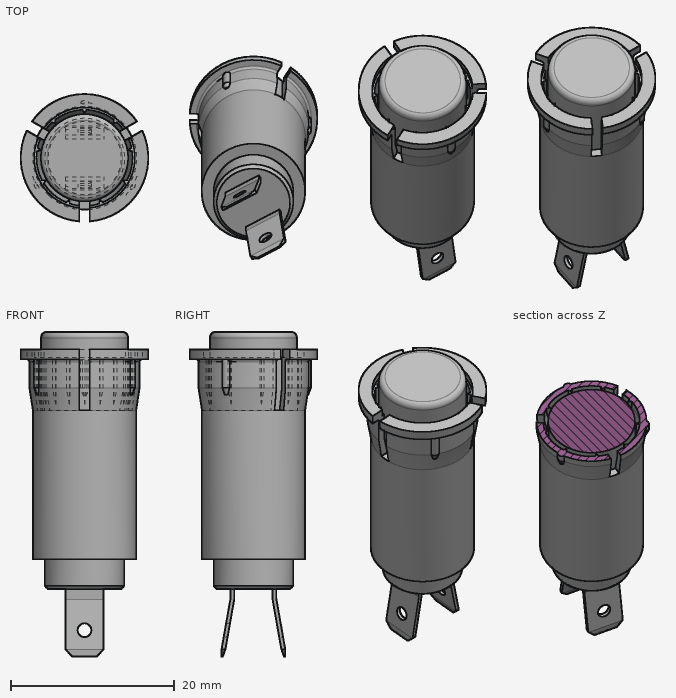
import cadquery as cq
import math


overall_height = 39.66

flange_thickness = 1.22
collar_height = 3.45
taper_height = 2.75
barrel_length = 18.22
collar_bottom_z = -collar_height
barrel_top_z = collar_bottom_z - taper_height
barrel_bottom_z = barrel_top_z - barrel_length

flange_radius = 7.805
collar_radius = 6.75
barrel_radius = 6.325
flange_fillet = 0.3

lens_radius = 5.33
lens_rise = 2.14
lens_fillet = 0.73
lens_top_z = flange_thickness + lens_rise

recess_radius = 6.15
recess_depth = 0.95
bore_radius = 5.87

finger_count = 3
finger_pitch = 360 / finger_count
slot_width = 1.28
first_slot_angle = 30

first_rib_angle = 90
rib_radius = 0.6
rib_protrusion = 0.29
rib_axis_radius = collar_radius + rib_protrusion - rib_radius
rib_tip_radius = 0.28
rib_tip_length = 0.86

ridge_count = 9
ridge_pitch = 360 / ridge_count
first_ridge_angle = 90
ridge_width = 0.5
ridge_height = 0.4

base_radius = 4.87
base_height = 3.65
base_chamfer = 0.4
base_bottom_z = barrel_bottom_z - base_height

tab_width = 4.7
tab_thickness = 0.5
tab_inner_y = 2.32
tab_straight_length = 1.2
tab_splay_angle = 10
tab_tip_bevel_angle = 10
tab_hole_diameter = 1.65
tab_hole_below_bend = 3.8
tab_corner_length = 0.92
tab_corner_width = 0.83
tab_bottom_z = lens_top_z - overall_height
tab_bend_z = base_bottom_z - tab_straight_length


def slot_cutter(angle):
    """Radial slot from the axis outward, through the flange, collar and taper."""
    slot_height = flange_thickness - barrel_top_z
    return (
        cq.Workplane("XY")
        .box(flange_radius + slot_width, slot_width, slot_height, centered=(False, True, False))
        .translate((0, 0, barrel_top_z))
        .rotate((0, 0, 0), (0, 0, 1), angle)
    )


def outer_rib(angle):
    """Round rib under the flange with a conical lower end on the taper."""
    x = rib_axis_radius * math.cos(math.radians(angle))
    y = rib_axis_radius * math.sin(math.radians(angle))
    shaft = cq.Workplane("XY", origin=(x, y, collar_bottom_z)).circle(rib_radius).extrude(collar_height)
    tip = cq.Solid.makeCone(
        rib_radius,
        rib_tip_radius,
        rib_tip_length,
        pnt=cq.Vector(x, y, collar_bottom_z),
        dir=cq.Vector(0, 0, -1),
    )
    return shaft.union(cq.Workplane(tip))


def bore_ridge(angle):
    """Triangular ridge standing on the bore wall, from the recess floor to the barrel top."""
    base_x = math.sqrt(bore_radius**2 - (ridge_width / 2) ** 2)
    root_x = (bore_radius + recess_radius) / 2
    return (
        cq.Workplane("XY", origin=(0, 0, barrel_top_z))
        .moveTo(root_x, -ridge_width / 2)
        .lineTo(base_x, -ridge_width / 2)
        .lineTo(bore_radius - ridge_height, 0)
        .lineTo(base_x, ridge_width / 2)
        .lineTo(root_x, ridge_width / 2)
        .close()
        .extrude(flange_thickness - recess_depth - barrel_top_z)
        .rotate((0, 0, 0), (0, 0, 1), angle)
    )


def make_housing():
    """Turned shell with ribs outside, ridges inside and three slots in its mouth."""
    outside = (
        cq.Workplane("XZ")
        .moveTo(0, flange_thickness)
        .lineTo(flange_radius, flange_thickness)
        .lineTo(flange_radius, 0)
        .lineTo(collar_radius + flange_fillet, 0)
        .radiusArc((collar_radius, -flange_fillet), -flange_fillet)
        .lineTo(collar_radius, collar_bottom_z)
        .lineTo(barrel_radius, barrel_top_z)
        .lineTo(barrel_radius, barrel_bottom_z)
        .lineTo(0, barrel_bottom_z)
        .close()
        .revolve(360, (0, 0, 0), (0, 1, 0))
    )
    bore = (
        cq.Workplane("XZ")
        .moveTo(0, flange_thickness)
        .lineTo(recess_radius, flange_thickness)
        .lineTo(recess_radius, flange_thickness - recess_depth)
        .lineTo(bore_radius, flange_thickness - recess_depth)
        .lineTo(bore_radius, collar_bottom_z)
        .lineTo(lens_radius, barrel_top_z)
        .lineTo(0, barrel_top_z)
        .close()
        .revolve(360, (0, 0, 0), (0, 1, 0))
    )
    housing = outside
    for i in range(finger_count):
        housing = housing.union(outer_rib(first_rib_angle + i * finger_pitch))
    housing = housing.cut(bore)
    for i in range(ridge_count):
        housing = housing.union(bore_ridge(first_ridge_angle + i * ridge_pitch))
    for i in range(finger_count):
        housing = housing.cut(slot_cutter(first_slot_angle + i * finger_pitch))
    return housing


def make_lens():
    """Round lens standing on the barrel top, with a rounded upper edge."""
    return (
        cq.Workplane("XY", origin=(0, 0, barrel_top_z))
        .circle(lens_radius)
        .extrude(lens_top_z - barrel_top_z)
        .faces(">Z")
        .edges()
        .fillet(lens_fillet)
    )


def make_base():
    """Base plug under the barrel, with a chamfered lower edge."""
    return (
        cq.Workplane("XY", origin=(0, 0, base_bottom_z))
        .circle(base_radius)
        .extrude(base_height)
        .faces("<Z")
        .edges()
        .chamfer(base_chamfer)
    )


def make_tab(side):
    """Solder tab, straight then splayed out to a bevelled tip; side is +1 or -1 along Y."""
    splay = math.tan(math.radians(tab_splay_angle))
    inner_bevel = math.tan(math.radians(tab_splay_angle + tab_tip_bevel_angle))
    outer_bevel = math.tan(math.radians(tab_splay_angle - tab_tip_bevel_angle))
    half_width = tab_width / 2
    tip_half_width = half_width - tab_corner_width
    corner_z = tab_bottom_z + tab_corner_length
    inner_y = tab_inner_y
    outer_y = tab_inner_y + tab_thickness
    splay_shift = splay * (tab_bend_z - corner_z)
    inner_corner_y = inner_y + splay_shift
    outer_corner_y = outer_y + splay_shift
    inner_tip_y = inner_corner_y + inner_bevel * tab_corner_length
    outer_tip_y = outer_corner_y + outer_bevel * tab_corner_length

    bent_strip = (
        cq.Workplane("YZ")
        .moveTo(side * inner_y, base_bottom_z)
        .lineTo(side * outer_y, base_bottom_z)
        .lineTo(side * outer_y, tab_bend_z)
        .lineTo(side * outer_corner_y, corner_z)
        .lineTo(side * outer_tip_y, tab_bottom_z)
        .lineTo(side * inner_tip_y, tab_bottom_z)
        .lineTo(side * inner_corner_y, corner_z)
        .lineTo(side * inner_y, tab_bend_z)
        .close()
        .extrude(half_width, both=True)
    )
    front_outline = (
        cq.Workplane("XZ")
        .moveTo(-half_width, base_bottom_z)
        .lineTo(half_width, base_bottom_z)
        .lineTo(half_width, corner_z)
        .lineTo(tip_half_width, tab_bottom_z)
        .lineTo(-tip_half_width, tab_bottom_z)
        .lineTo(-half_width, corner_z)
        .close()
        .extrude(base_radius, both=True)
    )
    hole = (
        cq.Workplane("XZ", origin=(0, 0, tab_bend_z - tab_hole_below_bend))
        .circle(tab_hole_diameter / 2)
        .extrude(base_radius, both=True)
    )
    return bent_strip.intersect(front_outline).cut(hole)


housing = make_housing()
lens = make_lens()
base = make_base()
tabs = [make_tab(side) for side in (1, -1)]

result = cq.Compound.makeCompound(
    [
        housing.solids().val(),
        lens.solids().val(),
        base.solids().val(),
        *[tab.solids().val() for tab in tabs],
    ]
)